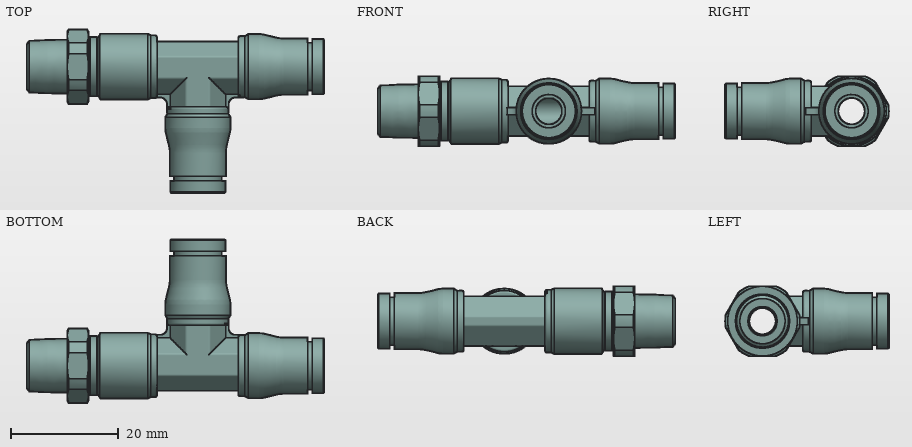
import cadquery as cq
import math


stem_end = -31.7
thread_start_x = -31.2
thread_gauge_x = -27.85
hex_start = -24.2
hex_end = -20.25
thread_tip_r = 4.2
thread_start_r = 4.8
thread_gauge_r = 4.95
thread_root_r = 5.0

hex_flats = 13.0
hex_corner_r = 6.95
hex_face_r = 6.45
hex_chamfer = (hex_corner_r - hex_face_r) * math.tan(math.radians(30))

neck_r = 4.95
washer_start = -19.95
washer_end = -18.55
washer_edge = 0.15
washer_r = 5.5
body_start = -18.15
body_r = 6.1
body_edge_rounding = 0.2
body_step_x = -9.3
body_collar_x = -8.7
body_collar_r = 5.85
body_end = -7.55

socket_start = 7.45
collar_end = 8.7
bulge_start = 9.4
bulge_end = 11.35
taper_start = 12.25
taper_end = 14.5
waist_start = 15.9
groove_start = 20.35
groove_end = 21.2
socket_end = 23.45
collar_r = 5.7
bulge_r = 6.05
taper_start_r = 5.95
taper_end_r = 5.4
waist_r = 5.25
groove_r = 4.45
ring_r = 5.15
ring_edge = 0.2
collar_rounding = 0.45

core_half_height = 4.65
core_slope = math.tan(math.radians(53.5))
core_rounding = 0.55
core_shoulder = 2.2
core_foot = 5.15
core_back_shoulder = 1.9
core_back = 4.7

web_half = 0.65
web_edge = 5.75
web_end = 8.5
web_fillet = 1.2

thread_bore_r = 2.7
bore_r = 2.4
tube_bore_r = 3.1
tube_stop = bulge_start


def cylinder_x(radius, start, end):
    return cq.Workplane("YZ").workplane(offset=start).circle(radius).extrude(end - start)


def revolve_x(profile):
    """Close a half profile along the X axis and revolve it."""
    return profile.close().revolve(360, (0, 0, 0), (1, 0, 0))


def to_branch(shape):
    """Turn a shape built along +X so that it points along -Y."""
    return shape.rotate((0, 0, 0), (0, 0, 1), -90)


def make_stem():
    """Tapered thread, washer and swivel body, without the hexagon."""
    return revolve_x(
        cq.Workplane("XY")
        .moveTo(stem_end, 0)
        .lineTo(stem_end, thread_tip_r)
        .lineTo(thread_start_x, thread_start_r)
        .lineTo(thread_gauge_x, thread_gauge_r)
        .lineTo(hex_start, thread_root_r)
        .lineTo(hex_start, neck_r)
        .lineTo(washer_start, neck_r)
        .lineTo(washer_start, washer_r)
        .lineTo(washer_end - washer_edge, washer_r)
        .lineTo(washer_end, washer_r - washer_edge)
        .lineTo(body_start, body_r - body_edge_rounding)
        .radiusArc((body_start + body_edge_rounding, body_r), body_edge_rounding)
        .lineTo(body_step_x, body_r)
        .lineTo(body_collar_x, body_collar_r)
        .lineTo(body_end - collar_rounding, body_collar_r)
        .radiusArc((body_end, body_collar_r - collar_rounding), collar_rounding)
        .lineTo(body_end, 0)
    )


def make_hex():
    """Hexagon with its corners turned down and both faces chamfered."""
    length = hex_end - hex_start
    across_corners = hex_flats / math.cos(math.radians(30))
    prism = cq.Workplane("YZ").workplane(offset=hex_start).polygon(6, across_corners).extrude(length)
    envelope = cylinder_x(hex_corner_r, hex_start, hex_end)
    envelope = envelope.faces("<X or >X").chamfer(hex_chamfer, hex_corner_r - hex_face_r)
    return prism.intersect(envelope)


def make_socket():
    """Push-in socket with its release ring, along +X."""
    return revolve_x(
        cq.Workplane("XY")
        .moveTo(socket_start, 0)
        .lineTo(socket_start, collar_r - collar_rounding)
        .radiusArc((socket_start + collar_rounding, collar_r), collar_rounding)
        .lineTo(collar_end, collar_r)
        .lineTo(bulge_start, bulge_r)
        .lineTo(bulge_end, bulge_r)
        .tangentArcPoint((taper_start, taper_start_r), relative=False)
        .lineTo(taper_end, taper_end_r)
        .tangentArcPoint((waist_start, waist_r), relative=False)
        .lineTo(groove_start, waist_r)
        .lineTo(groove_start, groove_r)
        .lineTo(groove_end, groove_r)
        .lineTo(groove_end, ring_r)
        .lineTo(socket_end - ring_edge, ring_r)
        .lineTo(socket_end, ring_r - ring_edge)
        .lineTo(socket_end, 0)
    )


def core_side(shoulder, foot):
    """One side of the core section, from its lower flat up to its upper flat."""
    foot_height = core_half_height - (foot - shoulder) * core_slope
    return [
        (shoulder, -core_half_height),
        (foot, -foot_height),
        (foot, foot_height),
        (shoulder, core_half_height),
    ]


def make_core_bar(start, end, back_shoulder, back_foot):
    """Bar along X with rounded shoulders; its +Y side ends at back_foot."""
    front = [(-y, z) for y, z in core_side(core_shoulder, core_foot)]
    back = core_side(back_shoulder, back_foot)
    section = cq.Workplane("YZ").workplane(offset=start).polyline(back + front[::-1]).close()
    bar = section.extrude(end - start)
    return bar.edges("|X").edges("<Z or >Z").fillet(core_rounding)


def make_main_bar():
    """Bar between the swivel body and the main socket, with a rounded back wall."""
    bar = make_core_bar(body_end, socket_start, core_back_shoulder, core_back)
    return bar.faces(">Y").edges("|X").fillet(core_rounding)


def make_web():
    """Flat plate in the two inner corners, running out along both sockets."""
    plate = (
        cq.Workplane("XY")
        .workplane(offset=-web_half)
        .polyline([
            (-web_end, 0),
            (-web_end, -web_edge),
            (-web_edge, -web_edge),
            (-web_edge, -web_end),
            (web_edge, -web_end),
            (web_edge, -web_edge),
            (web_end, -web_edge),
            (web_end, 0),
        ])
        .close()
        .extrude(2 * web_half)
    )
    inner_corners = [(-web_edge, -web_edge, 0), (web_edge, -web_edge, 0)]
    for corner in inner_corners:
        edge = cq.selectors.NearestToPointSelector(corner)
        plate = plate.edges(edge).fillet(web_fillet)
    return plate


def make_bores():
    """Through passage, wider thread mouth, and a tube seat in each socket."""
    passage = cylinder_x(bore_r, stem_end, socket_end)
    thread_mouth = cylinder_x(thread_bore_r, stem_end, hex_end)
    tube_seat = cylinder_x(tube_bore_r, tube_stop, socket_end)
    branch = to_branch(cylinder_x(bore_r, 0, socket_end).union(tube_seat))
    return passage.union(thread_mouth).union(tube_seat).union(branch)


socket = make_socket()
branch_bar = to_branch(make_core_bar(0, socket_start, core_shoulder, core_foot))

result = (
    make_stem()
    .union(make_hex())
    .union(make_main_bar())
    .union(branch_bar)
    .union(make_web())
    .union(socket)
    .union(to_branch(socket))
    .cut(make_bores())
)